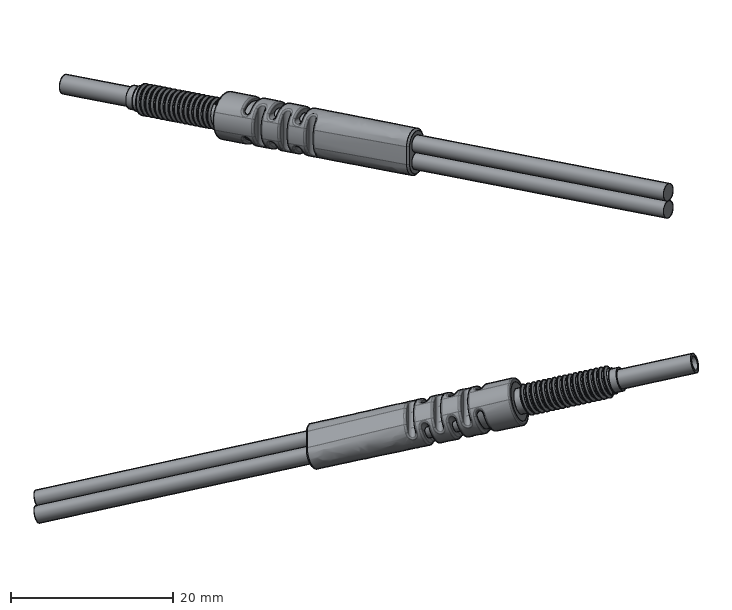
import cadquery as cq
import math

total_length = 88.5

tube_radius = 1.2
tube_bore_radius = 0.9

collar_radius = 1.5
collar_start = 9.9
thread_start = 10.9
thread_end = 23.1
thread_radius = 4.0 / 2
thread_pitch = 0.7
thread_depth = 0.35
root_radius = thread_radius - thread_depth
ridge_base = 0.6
ridge_crest = 0.11
ridge_overlap = 0.1
core_radius = 2.5

grip_start = 23.6
grip_end = 51.6
grip_radius = 3.0
flat_half_height = 1.15
rear_half_width = grip_radius - flat_half_height
rear_chamfer = 0.3
front_fillet = 0.2
cut_fillet = 0.3

cut_width = 1.0
cut_pitch = 3.7
cuts_per_side = 3
first_slot_x = 29.9
first_notch_x = first_slot_x - cut_pitch / 2
slot_floor = 1.15
notch_floor = 1.4

core_end = 29.2

cable_radius = 2.2 / 2
cable_offsets = (-cable_radius, cable_radius)


def rod(radius, start, end, height=0.0):
    """Cylinder along X between two X positions, its axis at the given Z."""
    return cq.Workplane("YZ", origin=(start, 0, height)).circle(radius).extrude(end - start)


def make_tube():
    bore = rod(tube_bore_radius, 0, core_end)
    return rod(tube_radius, 0, core_end).cut(bore)


def thread_ridge():
    """Helical ridge with a trapezoid section, made along Z and then laid along X."""
    length = thread_end - thread_start - ridge_base
    sunk_radius = root_radius - ridge_overlap
    path = cq.Wire.makeHelix(thread_pitch, length, root_radius)
    ridge = (
        cq.Workplane("XZ")
        .moveTo(sunk_radius, -ridge_base / 2)
        .lineTo(thread_radius, -ridge_crest / 2)
        .lineTo(thread_radius, ridge_crest / 2)
        .lineTo(sunk_radius, ridge_base / 2)
        .close()
        .sweep(cq.Workplane(path), isFrenet=True)
    )
    return ridge.rotate((0, 0, 0), (0, 1, 0), 90).translate((thread_start + ridge_base / 2, 0, 0))


def make_head():
    collar = rod(collar_radius, collar_start, thread_start)
    shank = rod(root_radius, thread_start, grip_start)
    core = rod(core_radius, grip_start, core_end)
    tube_hole = rod(tube_radius, collar_start, core_end)
    return shank.union(thread_ridge()).union(collar).union(core).cut(tube_hole)


def grip_body():
    """Loft from a round front to a narrower, flat-sided rear."""
    front_half_width = math.sqrt(grip_radius**2 - flat_half_height**2)
    front = (
        cq.Workplane("YZ", origin=(grip_start, 0, 0))
        .moveTo(front_half_width, -flat_half_height)
        .threePointArc((grip_radius, 0), (front_half_width, flat_half_height))
        .threePointArc((0, grip_radius), (-front_half_width, flat_half_height))
        .threePointArc((-grip_radius, 0), (-front_half_width, -flat_half_height))
        .threePointArc((0, -grip_radius), (front_half_width, -flat_half_height))
        .close()
    )
    rear = (
        cq.Workplane("YZ", origin=(grip_end, 0, 0))
        .moveTo(rear_half_width, -flat_half_height)
        .lineTo(rear_half_width, flat_half_height)
        .threePointArc((0, grip_radius), (-rear_half_width, flat_half_height))
        .lineTo(-rear_half_width, -flat_half_height)
        .threePointArc((0, -grip_radius), (rear_half_width, -flat_half_height))
        .close()
    )
    body = cq.Solid.makeLoft([front.val(), rear.val()], True)
    return cq.Workplane(body).faces(">X").chamfer(rear_chamfer).faces("<X").edges().fillet(front_fillet)


def flex_cut(x, floor):
    """Round-bottomed cut through the +Y side, running right across in Z."""
    reach = 2 * grip_radius
    half = cut_width / 2
    return (
        cq.Workplane("XY", origin=(0, 0, -grip_radius))
        .moveTo(x - half, reach)
        .lineTo(x - half, floor + half)
        .threePointArc((x, floor), (x + half, floor + half))
        .lineTo(x + half, reach)
        .close()
        .extrude(2 * grip_radius)
    )


def cut_mouth_edges(grip):
    """Curved edges around the flat walls of the flexing cuts."""
    ends = (grip_start, grip_end)
    walls = [
        face
        for face in grip.faces("|X").vals()
        if all(abs(face.Center().x - end) > cut_width for end in ends)
    ]
    return [edge for wall in walls for edge in wall.Edges() if edge.geomType() != "LINE"]


def make_grip():
    grip = grip_body()
    for index in range(cuts_per_side):
        slot = flex_cut(first_slot_x + index * cut_pitch, slot_floor)
        notch = flex_cut(first_notch_x + index * cut_pitch, notch_floor)
        for side in (0, 180):
            grip = grip.cut(slot.rotate((0, 0, 0), (1, 0, 0), side))
            grip = grip.cut(notch.rotate((0, 0, 0), (1, 0, 0), side + 90))
    grip = grip.newObject(cut_mouth_edges(grip)).fillet(cut_fillet)
    grip = grip.cut(rod(core_radius, grip_start, core_end))
    for offset in cable_offsets:
        grip = grip.cut(rod(cable_radius, core_end, grip_end, offset))
    return grip


def make_cable(offset):
    return rod(cable_radius, core_end, total_length, offset)


tube = make_tube()
head = make_head()
grip = make_grip()
cables = [make_cable(offset).val() for offset in cable_offsets]

result = cq.Compound.makeCompound([tube.val(), head.val(), grip.val(), *cables])